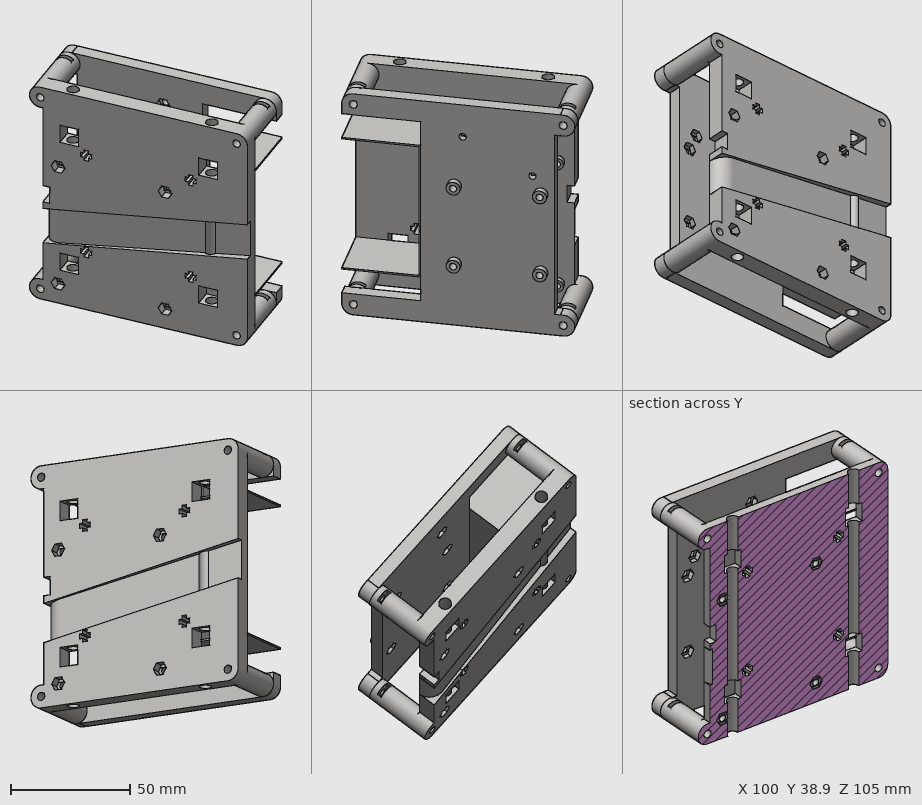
import cadquery as cq
import math

width = 100.0
height = 105.0

post_diameter = 10.0
post_radius = post_diameter / 2
post_length = 30.0
screw_diameter = 3.5
nut_slot_width = 6.4
nut_slot_thickness = 2.1
nut_slot_y = 25.1
nut_slot_below_axis = 2.7
post_xs = (post_radius, width - post_radius)
post_zs = (post_radius, height - post_radius)

front_thickness = 8.0
front_left = 6.2
front_boss_diameter = 5.5
front_boss_height = 2.5
front_nut_depth = 4.0
front_boss_xs = (13.1, 62.2)
front_boss_zs = (9.6, 67.5)

edge_notch_depth = 3.2
edge_notch_height = 8.0

rod_diameter = 5.2
rod_xs = (18.3, 81.9)
window_size = 8.5
window_zs = (20.8, 84.2)

cross_span = 5.0
cross_arm_width = 2.1
cross_xs = (26.0, 73.9)
cross_zs = (28.6, 76.4)

channel_height = 17.0
channel_left_z = 28.1
channel_right_z = 44.0
channel_left_depth = 1.0
channel_right_depth = 3.0

tube_left = 66.0
tube_bottom = 21.2
tube_top = height - tube_bottom
tube_wall = 0.7

back_thickness = 6.0
back_y = post_length
back_rear = back_y + back_thickness
ear_left = 6.2
back_left = 8.6
back_opening_left = tube_left
back_boss_diameter = 6.0
back_boss_height = 2.9
back_nut_depth = 2.3
back_boss_xs = (14.5, 51.6)
back_boss_zs = (29.3, 66.4)
spare_screw_points = ((18.2, 74.5), (48.1, 89.9))

small_screw_diameter = 3.0
nut_across_flats = 5.4
nut_across_corners = nut_across_flats / math.cos(math.pi / 6)
nut_step_depth = 0.3

post_points = [(x, z) for x in post_xs for z in post_zs]
front_boss_points = [(x, z) for x in front_boss_xs for z in front_boss_zs]
back_boss_points = [(x, z) for x in back_boss_xs for z in back_boss_zs]


def box(x0, x1, y0, y1, z0, z1):
    """Block between two opposite corners."""
    return cq.Workplane("XY").box(x1 - x0, y1 - y0, z1 - z0, centered=False).translate((x0, y0, z0))


def plane_at(y):
    """Sketch plane facing the front at depth y, drawn in X and Z."""
    return cq.Workplane("XZ", origin=(0, y, 0))


def cylinders(points, diameter, y0, y1):
    """Equal cylinders along Y, one at each (x, z) point."""
    return plane_at(y0).pushPoints(points).circle(diameter / 2).extrude(y0 - y1)


def screw_and_nut_cuts(points, y0, nut_depth, y1):
    """Screw holes with a hexagonal nut pocket at y0 and a narrow step under each nut."""
    nut_floor = y0 + nut_depth
    step_floor = nut_floor + nut_step_depth
    pockets = plane_at(y0).pushPoints(points).polygon(6, nut_across_corners).extrude(-nut_depth)
    hexagons = plane_at(nut_floor).pushPoints(points).polygon(6, nut_across_corners).extrude(-nut_step_depth)
    strips = (
        plane_at(nut_floor)
        .pushPoints(points)
        .rect(nut_across_corners, small_screw_diameter)
        .extrude(-nut_step_depth)
    )
    holes = cylinders(points, small_screw_diameter, step_floor, y1)
    return pockets.union(hexagons.intersect(strips)).union(holes)


def front_plate():
    """Plate with the posts as its corners, set back on the left between the two left posts."""
    full_height_part = box(post_xs[0], post_xs[1], 0, front_thickness, 0, height)
    between_posts = box(front_left, width, 0, front_thickness, post_zs[0], post_zs[1])
    left_recess = box(0, front_left, 0, front_thickness, post_diameter, height - post_diameter)
    notch = box(
        front_left,
        front_left + edge_notch_depth,
        0,
        front_thickness,
        (height - edge_notch_height) / 2,
        (height + edge_notch_height) / 2,
    )
    plate = full_height_part.cut(left_recess).union(between_posts).cut(notch)
    return plate.union(cylinders(post_points, post_diameter, 0, post_length))


def nut_slots():
    """Slots open to the top of each post, for a nut around the post's screw."""
    slot_height = post_radius + nut_slot_below_axis
    slot_centers = [(x, z + post_radius - slot_height / 2) for x, z in post_points]
    return (
        plane_at(nut_slot_y)
        .pushPoints(slot_centers)
        .rect(nut_slot_width, slot_height)
        .extrude(-nut_slot_thickness)
    )


def rod_cuts():
    """Bores along the whole height, and the windows that cross them."""
    bores = (
        cq.Workplane("XY")
        .pushPoints([(x, front_thickness / 2) for x in rod_xs])
        .circle(rod_diameter / 2)
        .extrude(height)
    )
    windows = (
        plane_at(0)
        .pushPoints([(x, z) for x in rod_xs for z in window_zs])
        .rect(window_size, window_size)
        .extrude(-front_thickness)
    )
    return bores.union(windows)


def cross_cuts():
    """Cross-shaped holes through the front plate."""
    points = [(x, z) for x in cross_xs for z in cross_zs]
    flat_arms = plane_at(0).pushPoints(points).rect(cross_span, cross_arm_width).extrude(-front_thickness)
    upright_arms = plane_at(0).pushPoints(points).rect(cross_arm_width, cross_span).extrude(-front_thickness)
    return flat_arms.union(upright_arms)


def channel_cut():
    """Channel that climbs and deepens to the right, with a rounded run-out at its left end."""
    roundover = front_thickness - channel_left_depth
    arc_center_x = front_left + roundover
    arc_middle = (
        arc_center_x - roundover * math.cos(math.pi / 4),
        front_thickness - roundover * math.sin(math.pi / 4),
    )
    depth_profile = (
        cq.Workplane("XY")
        .moveTo(front_left, 0)
        .lineTo(front_left, front_thickness)
        .threePointArc(arc_middle, (arc_center_x, channel_left_depth))
        .lineTo(width, channel_right_depth)
        .lineTo(width, 0)
        .close()
        .extrude(height)
    )
    band = (
        plane_at(0)
        .moveTo(front_left, channel_left_z)
        .lineTo(width, channel_right_z)
        .lineTo(width, channel_right_z + channel_height)
        .lineTo(front_left, channel_left_z + channel_height)
        .close()
        .extrude(-front_thickness)
    )
    return depth_profile.intersect(band)


def tube():
    """Tube standing on the front plate, open to the right and to the back."""
    outside = box(tube_left, width, front_thickness, back_rear, tube_bottom, tube_top)
    inside = box(
        tube_left + tube_wall,
        width,
        front_thickness,
        back_rear,
        tube_bottom + tube_wall,
        tube_top - tube_wall,
    )
    return outside.cut(inside)


def make_front_body():
    boss_end = front_thickness + front_boss_height
    body = front_plate()
    body = body.union(cylinders(front_boss_points, front_boss_diameter, front_thickness, boss_end))
    body = body.union(tube())
    body = body.cut(cylinders(post_points, screw_diameter, 0, post_length))
    body = body.cut(nut_slots())
    body = body.cut(screw_and_nut_cuts(front_boss_points, 0, front_nut_depth, boss_end))
    return body.cut(rod_cuts()).cut(cross_cuts()).cut(channel_cut())


def back_outline():
    """Plate with round corners, a recess between its left ears and an opening on the right for the tube."""
    full_height_part = box(ear_left, post_xs[1], back_y, back_rear, 0, height)
    between_posts = box(ear_left, width, back_y, back_rear, post_zs[0], post_zs[1])
    plate = full_height_part.union(between_posts)
    plate = plate.union(cylinders(post_points, post_diameter, back_y, back_rear))
    left_recess = box(0, back_left, back_y, back_rear, post_diameter, height - post_diameter)
    opening = box(back_opening_left, width, back_y, back_rear, post_diameter, height - post_diameter)
    return plate.cut(left_recess).cut(opening)


def make_back_plate():
    boss_end = back_rear + back_boss_height
    plate = back_outline()
    plate = plate.union(cylinders(back_boss_points, back_boss_diameter, back_rear, boss_end))
    plate = plate.cut(cylinders(post_points, screw_diameter, back_y, back_rear))
    plate = plate.cut(screw_and_nut_cuts(back_boss_points, back_y, back_nut_depth, boss_end))
    return plate.cut(screw_and_nut_cuts(spare_screw_points, back_y, back_nut_depth, back_rear))


front_body = make_front_body()
back_plate = make_back_plate()

result = cq.Compound.makeCompound([front_body.val(), back_plate.val()])